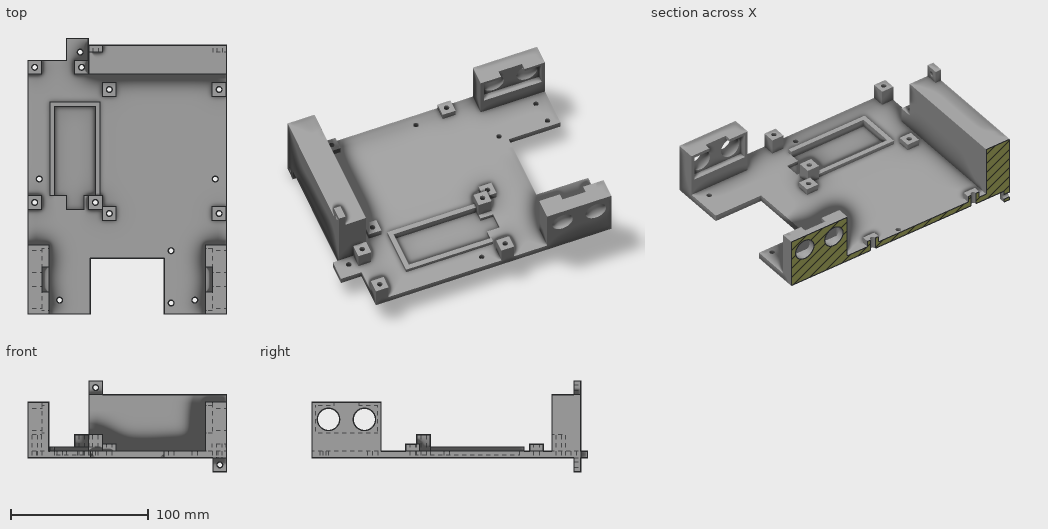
import cadquery as cq


plate_width = 144.2
plate_left_back_y = 184.0
plate_right_back_y = 195.0
plate_thickness = 5.0
notch_width = 53.6
notch_depth = 40.5

ear_width = 16.0
ear_end_y = 200.0
ear_wall_gap = 0.2

wall_length = 100.0
wall_thickness = 21.0
wall_height = 41.0
lug_size = 10.0
lug_thickness = 5.0

post_size = 10.0
tall_post_height = 12.0
tall_post_front_row_y = 81.0
tall_post_front_right_x = 49.0
short_post_height = 5.0
short_post_left_x = 59.1
short_post_front_y = 73.0
short_post_pitch_x = 79.6
short_post_pitch_y = 89.9

tray_left_x = 16.0
tray_front_y = 86.0
tray_width = 36.4
tray_length = 68.0
tray_rim_width = 3.5
tray_rim_height = 3.0
tray_pocket_depth = 3.0
connector_left_x = 28.0
connector_width = 12.6
connector_length = 10.0

housing_width = 15.2
housing_length = 50.2
housing_height = 35.5
sensor_eye_diameter = 16.0
sensor_eye_pitch = 26.0
sensor_recess_length = 45.0
sensor_recess_height = 20.0
sensor_recess_depth = 5.0
sensor_recess_margin = 2.5
sensor_slot_length = 18.2

screw_diameter = 4.0
rear_hole_pitch = 127.6
rear_hole_y = 98.0
front_hole_pitch = 98.0
front_hole_y = 10.2
caster_hole_x = 103.9
caster_hole_ys = (8.1, 46.0)
ear_hole_center = (38.0, 190.0)

middle_x = plate_width / 2
wall_left_x = plate_width - wall_length
ear_right_x = wall_left_x - ear_wall_gap
wall_front_y = plate_right_back_y - wall_thickness
wall_top_z = plate_thickness + wall_height
half_post = post_size / 2
tall_post_centers = [
    (half_post, plate_left_back_y - half_post),
    (ear_right_x - half_post, plate_left_back_y - half_post),
    (half_post, tall_post_front_row_y),
    (tall_post_front_right_x, tall_post_front_row_y),
]
short_post_centers = [
    (short_post_left_x + column * short_post_pitch_x, short_post_front_y + row * short_post_pitch_y)
    for column in range(2)
    for row in range(2)
]
plate_hole_centers = [(caster_hole_x, y) for y in caster_hole_ys] + [ear_hole_center]
for side in (-1, 1):
    plate_hole_centers.append((middle_x + side * rear_hole_pitch / 2, rear_hole_y))
    plate_hole_centers.append((middle_x + side * front_hole_pitch / 2, front_hole_y))


def block(x, y, z, size_x, size_y, size_z):
    """Box placed by its lowest corner."""
    return cq.Workplane("XY").box(size_x, size_y, size_z, centered=False).translate((x, y, z))


def make_plate():
    outline = [
        (0, 0),
        (middle_x - notch_width / 2, 0),
        (middle_x - notch_width / 2, notch_depth),
        (middle_x + notch_width / 2, notch_depth),
        (middle_x + notch_width / 2, 0),
        (plate_width, 0),
        (plate_width, plate_right_back_y),
        (wall_left_x, plate_right_back_y),
        (wall_left_x, plate_left_back_y),
        (ear_right_x, plate_left_back_y),
        (ear_right_x, ear_end_y),
        (ear_right_x - ear_width, ear_end_y),
        (ear_right_x - ear_width, plate_left_back_y),
        (0, plate_left_back_y),
    ]
    return cq.Workplane("XY").polyline(outline).close().extrude(plate_thickness)


def make_lug(x, z):
    """Square lug flush with the back of the wall, with a screw hole along Y."""
    lug_front_y = plate_right_back_y - lug_thickness
    lug = block(x, lug_front_y, z, lug_size, lug_thickness, lug_size)
    return lug.faces("<Y").workplane(centerOption="CenterOfBoundBox").hole(screw_diameter)


def make_wall():
    wall = block(wall_left_x, wall_front_y, plate_thickness, wall_length, wall_thickness, wall_height)
    upper_lug = make_lug(wall_left_x, wall_top_z)
    lower_lug = make_lug(plate_width - lug_size, -lug_size)
    return wall.union(upper_lug).union(lower_lug)


def make_posts(centers, height):
    plate_top = cq.Workplane("XY").workplane(offset=plate_thickness)
    return plate_top.pushPoints(centers).rect(post_size, post_size).extrude(height)


def make_tray_rim():
    return block(tray_left_x, tray_front_y, plate_thickness, tray_width, tray_length, tray_rim_height)


def make_tray_pocket():
    floor_z = plate_thickness - tray_pocket_depth
    pocket = block(
        tray_left_x + tray_rim_width,
        tray_front_y,
        floor_z,
        tray_width - 2 * tray_rim_width,
        tray_length - tray_rim_width,
        tray_pocket_depth + tray_rim_height,
    )
    connector_y = tray_front_y - connector_length
    connector = block(
        connector_left_x,
        connector_y,
        floor_z,
        connector_width,
        connector_length,
        tray_pocket_depth,
    )
    return pocket.union(connector)


def make_housing():
    """Left housing: recess and top slot open toward the middle, two round eyes through to the outside."""
    top_z = plate_thickness + housing_height
    middle_y = housing_length / 2
    recess_x = housing_width - sensor_recess_depth
    recess_z = top_z - sensor_recess_margin - sensor_recess_height
    housing = block(0, 0, plate_thickness, housing_width, housing_length, housing_height)
    recess = block(
        recess_x,
        middle_y - sensor_recess_length / 2,
        recess_z,
        sensor_recess_depth,
        sensor_recess_length,
        sensor_recess_height,
    )
    slot = block(
        recess_x,
        middle_y - sensor_slot_length / 2,
        recess_z,
        sensor_recess_depth,
        sensor_slot_length,
        top_z - recess_z,
    )
    eye_z = recess_z + sensor_recess_height / 2
    eye_centers = [(middle_y + side * sensor_eye_pitch / 2, eye_z) for side in (-1, 1)]
    eyes = cq.Workplane("YZ").pushPoints(eye_centers).circle(sensor_eye_diameter / 2).extrude(housing_width)
    return housing.cut(recess).cut(slot).cut(eyes)


def make_screw_holes():
    centers = plate_hole_centers + tall_post_centers + short_post_centers
    height = plate_thickness + tall_post_height
    return cq.Workplane("XY").pushPoints(centers).circle(screw_diameter / 2).extrude(height)


left_housing = make_housing()
right_housing = left_housing.mirror("YZ", (middle_x, 0, 0))

result = make_plate().union(make_tray_rim()).cut(make_tray_pocket())
result = result.union(make_wall()).union(left_housing).union(right_housing)
result = result.union(make_posts(tall_post_centers, tall_post_height))
result = result.union(make_posts(short_post_centers, short_post_height))
result = result.cut(make_screw_holes())